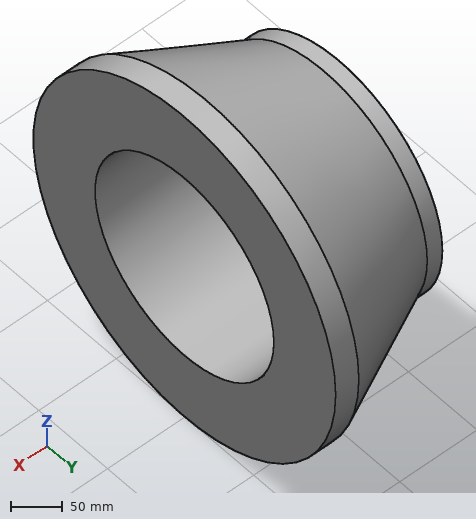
import cadquery as cq

length = 200.0
large_diameter = 440.0
small_diameter = 300.0
bore_diameter = 260.0
small_collar_length = 20.0
large_collar_length = 30.0

large_radius = large_diameter / 2
small_radius = small_diameter / 2
bore_radius = bore_diameter / 2
cone_end = length - large_collar_length

half_section = (
    cq.Workplane("XY")
    .moveTo(0, bore_radius)
    .lineTo(0, small_radius)
    .lineTo(small_collar_length, small_radius)
    .lineTo(cone_end, large_radius)
    .lineTo(length, large_radius)
    .lineTo(length, bore_radius)
    .close()
)

result = half_section.revolve(360, (0, 0, 0), (1, 0, 0)).translate((-length / 2, 0, 0))